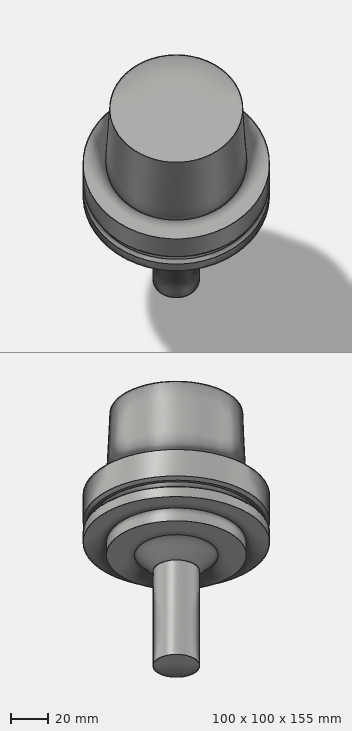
import cadquery as cq

total_height = 155.0
taper_base_z = 107.1
flange_top_z = 105.0
flange_bottom_z = 76.0
hub_bottom_z = 68.0
shank_top_z = 58.1

taper_top_radius = 71.3 / 2
taper_base_radius = 75.8 / 2
relief_radius = 75.0 / 2
flange_radius = 100.0 / 2
groove_radius = 92.0 / 2
hub_radius = 75.0 / 2
shank_radius = 25.0 / 2

groove_top_z = 87.3
groove_bottom_z = 83.4
groove_chamfer_height = 1.4
groove_chamfer_width = 2.2
groove_lip_radius = flange_radius - groove_chamfer_width

neck_top_radius = shank_radius + (hub_bottom_z - shank_top_z)

profile = [
    (0, 0),
    (shank_radius, 0),
    (shank_radius, shank_top_z),
    (neck_top_radius, hub_bottom_z),
    (hub_radius, hub_bottom_z),
    (hub_radius, flange_bottom_z),
    (flange_radius, flange_bottom_z),
    (flange_radius, groove_bottom_z - groove_chamfer_height),
    (groove_lip_radius, groove_bottom_z),
    (groove_radius, groove_bottom_z),
    (groove_radius, groove_top_z),
    (groove_lip_radius, groove_top_z),
    (flange_radius, groove_top_z + groove_chamfer_height),
    (flange_radius, flange_top_z),
    (relief_radius, flange_top_z),
    (taper_base_radius, taper_base_z),
    (taper_top_radius, total_height),
    (0, total_height),
]

result = cq.Workplane("XZ").polyline(profile).close().revolve(360, (0, 0, 0), (0, 1, 0))